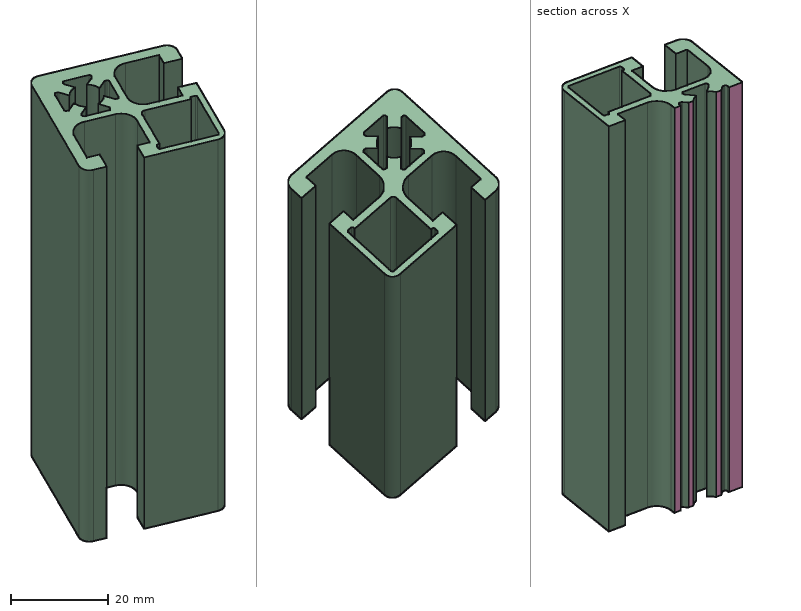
import cadquery as cq
import math

side = 32.0
length = 100.0
outer_radius = 2.3

axis = 9.4
slot_opening = 8.2
lip_depth = 4.1
chamber_width = 13.8
slot_depth = 15.0
chamber_radius = 3.5

cavity_start = 18.0
wall = 1.4
cavity_inner_radius = 0.9
cavity_outer_radius = 0.4
relief_depth = 0.7
relief_length = 1.5
relief_radius = 0.3

channel_reach = 6.0
arm_half_width = 3.1
throat_half_width = 1.3
throat_distance = 3.3
arm_radius = 0.4


def box(x_min, y_min, x_max, y_max):
    """Full-length prism over a rectangle of the section."""
    return cq.Workplane("XY").box(x_max - x_min, y_max - y_min, length, centered=False).translate(
        (x_min, y_min, 0)
    )


def top_slot():
    """T-slot open through the +Y face, with a rounded floor."""
    opening = box(axis - slot_opening / 2, side - slot_depth / 2, axis + slot_opening / 2, side)
    chamber = box(
        axis - chamber_width / 2, side - slot_depth, axis + chamber_width / 2, side - lip_depth
    )
    return opening.union(chamber.edges("|Z and <Y").fillet(chamber_radius))


def swap_xy(solid):
    """Mirror a prism across the section diagonal X = Y."""
    return solid.mirror("YZ").rotate((0, 0, 0), (0, 0, 1), -90)


def corner_cavity():
    """Square chamber with a small relief at the end of each inner wall."""
    end = side - wall
    cavity = box(cavity_start, cavity_start, end, end)
    cavity = cavity.edges("|Z and <X and <Y").fillet(cavity_inner_radius)
    cavity = cavity.edges("|Z and >X and >Y").fillet(cavity_outer_radius)
    relief = box(cavity_start - relief_depth, end - relief_length, end - relief_length, end)
    relief = relief.edges("|Z and <X").fillet(relief_radius)
    return cavity.union(relief).union(swap_xy(relief))


def screw_channel():
    """Four dovetail arms around a round core."""
    shoulder = throat_distance + arm_half_width - throat_half_width
    arm = (
        cq.Workplane("XY")
        .polyline(
            [
                (0, throat_distance - throat_half_width),
                (throat_half_width, throat_distance),
                (arm_half_width, shoulder),
                (arm_half_width, channel_reach),
                (-arm_half_width, channel_reach),
                (-arm_half_width, shoulder),
                (-throat_half_width, throat_distance),
            ]
        )
        .close()
        .extrude(length)
    )
    for x_sign in (-1, 1):
        for y in (shoulder, channel_reach):
            corner = cq.selectors.NearestToPointSelector((x_sign * arm_half_width, y, length / 2))
            arm = arm.edges("|Z").edges(corner).fillet(arm_radius)

    core_radius = math.hypot(throat_half_width, throat_distance)
    channel = cq.Workplane("XY").circle(core_radius).extrude(length)
    for quarter_turn in range(4):
        channel = channel.union(arm.rotate((0, 0, 0), (0, 0, 1), 90 * quarter_turn))
    return channel.translate((axis, axis, 0))


bar = box(0, 0, side, side).edges("|Z").fillet(outer_radius)
slot = top_slot()
result = bar.cut(slot).cut(swap_xy(slot)).cut(corner_cavity()).cut(screw_channel())